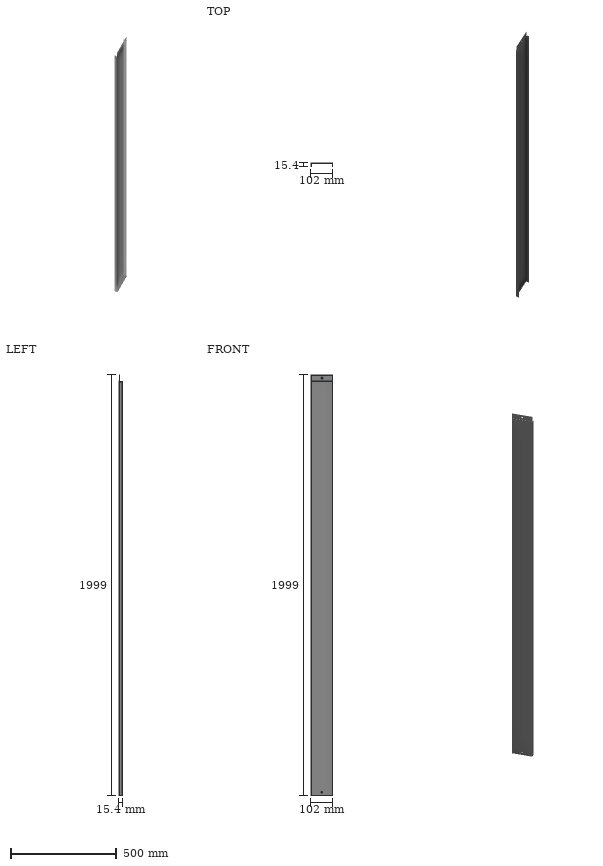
import cadquery as cq

length = 1999.0
width = 102.0
depth = 15.4

sheet = 1.0
tab_length = 30.0
channel_length = length - tab_length

relief_height = 4.0
relief_depth = 5.0

tab_hole_diameter = 7.0
tab_hole_z = length - tab_length / 2
foot_hole_diameter = 5.0
foot_hole_z = 15.0


def plate(x_size, y_size, z_size, x_start, y_start, z_start):
    """Rectangular plate placed by its lowest corner."""
    block = cq.Workplane("XY").box(x_size, y_size, z_size, centered=False)
    return block.translate((x_start, y_start, z_start))


def hole_cutter(diameter, z):
    """Cylinder along Y through the whole depth of the channel."""
    cutter = cq.Workplane("XZ").center(0, z).circle(diameter / 2)
    return cutter.extrude(depth, both=True)


left = -width / 2
web_y = depth / 2 - sheet
channel = plate(width, sheet, channel_length + sheet, left, web_y, 0)
for flange_x in (left, width / 2 - sheet):
    flange = plate(sheet, depth, channel_length, flange_x, -depth / 2, 0)
    relief_y = web_y - relief_depth
    relief_z = channel_length - relief_height
    relief = plate(sheet, relief_depth, relief_height, flange_x, relief_y, relief_z)
    channel = channel.union(flange.cut(relief))

tab_y = web_y - sheet
tab = plate(width, sheet, tab_length, left, tab_y, channel_length)

result = channel.union(tab)
result = result.cut(hole_cutter(tab_hole_diameter, tab_hole_z))
result = result.cut(hole_cutter(foot_hole_diameter, foot_hole_z))